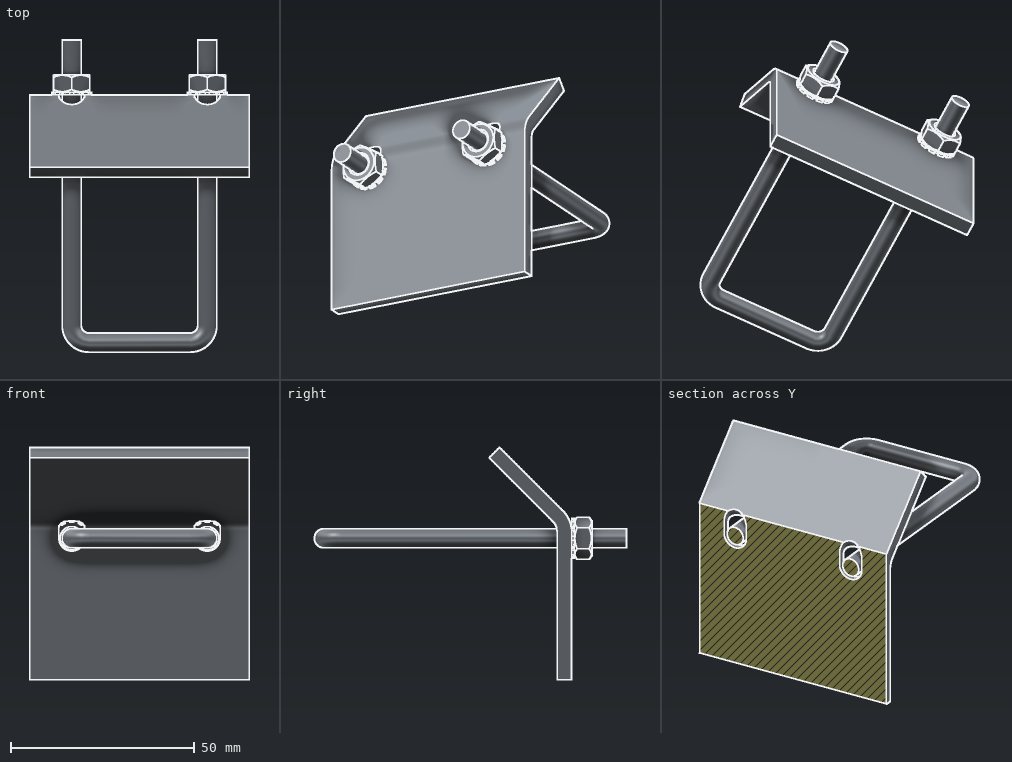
import cadquery as cq
import math


plate_width = 60.0
plate_thickness = 4.0
lower_flange_length = 40.4
upper_flange_length = 24.6
bend_start_z = 1.8
bend_angle = math.radians(45)
bend_inner_radius = plate_thickness
bend_outer_radius = bend_inner_radius + plate_thickness
bend_middle_radius = (bend_inner_radius + bend_outer_radius) / 2
bend_center_y = -bend_outer_radius

bolt_length = 85.3
bolt_diameter = 5.3
leg_spacing = 37.0
corner_radius = 4.7
bolt_end_y = 15.0
leg_positions = (-leg_spacing / 2, leg_spacing / 2)

slot_width = 7.0
slot_rise = 3.3

washer_thickness = 0.7
washer_diameter = 11.0
washer_hole_diameter = 6.4
tooth_count = 12
tooth_gap_width = 1.1
tooth_root_radius = 4.4

nut_height = 4.9
nut_across_flats = 10.0
nut_face_diameter = 9.5
nut_chamfer_height = 0.8
nut_countersink_diameter = washer_hole_diameter


def turned(points):
    """Solid of revolution about Y from (radius, y) points."""
    return cq.Workplane("XY").polyline(points).close().revolve(360, (0, 0, 0), (0, 1, 0))


def cylinder_y(diameter, y_start, y_end):
    """Cylinder along Y between two Y positions."""
    return cq.Workplane("XZ", origin=(0, y_start, 0)).circle(diameter / 2).extrude(y_start - y_end)


def bend_point(radius, angle):
    """(y, z) of a point in the bend, with the angle measured up from the bend start."""
    return (bend_center_y + radius * math.cos(angle), bend_start_z + radius * math.sin(angle))


def bent_plate():
    """Plate with an arc bend, leaning toward -Y above the bend."""
    def flange_tip(radius):
        y, z = bend_point(radius, bend_angle)
        return (
            y - upper_flange_length * math.sin(bend_angle),
            z + upper_flange_length * math.cos(bend_angle),
        )

    bottom_z = bend_start_z - lower_flange_length
    return (
        cq.Workplane("YZ")
        .moveTo(0, bottom_z)
        .lineTo(0, bend_start_z)
        .threePointArc(
            bend_point(bend_outer_radius, bend_angle / 2), bend_point(bend_outer_radius, bend_angle)
        )
        .lineTo(*flange_tip(bend_outer_radius))
        .lineTo(*flange_tip(bend_inner_radius))
        .lineTo(*bend_point(bend_inner_radius, bend_angle))
        .threePointArc(
            bend_point(bend_inner_radius, bend_angle / 2), bend_point(bend_inner_radius, 0)
        )
        .lineTo(-plate_thickness, bottom_z)
        .close()
        .extrude(plate_width / 2, both=True)
    )


def clearance_slot():
    """Slot that follows the bend: its walls stay square to the plate surface."""
    half_width = slot_width / 2
    reach = bend_outer_radius + plate_thickness
    flat_part = (
        cq.Workplane("XZ")
        .circle(half_width)
        .extrude(reach)
        .union(
            cq.Workplane("XY")
            .box(slot_width, reach, bend_start_z, centered=(True, False, False))
            .translate((0, -reach, 0))
        )
    )

    end_angle = (slot_rise - bend_start_z) / bend_middle_radius
    sides = (
        cq.Workplane("YZ")
        .polyline([(bend_center_y, bend_start_z), bend_point(reach, 0), bend_point(reach, end_angle)])
        .close()
        .extrude(half_width, both=True)
    )

    end_slope = math.tan(half_width / bend_middle_radius)
    near_radius = bend_inner_radius / 2
    end_plane = cq.Plane(
        origin=(0, *bend_point(near_radius, end_angle)),
        xDir=(1, 0, 0),
        normal=(0, math.cos(end_angle), math.sin(end_angle)),
    )
    upper_end = (
        cq.Workplane(end_plane)
        .ellipse(half_width, near_radius * end_slope)
        .workplane(offset=reach - near_radius)
        .ellipse(half_width, reach * end_slope)
        .loft(ruled=True)
    )
    return flat_part.union(sides).union(upper_end)


def u_bolt():
    """Round bar swept along two legs joined by rounded corners."""
    leg_x = leg_spacing / 2
    loop_y = bolt_end_y - bolt_length + bolt_diameter / 2
    corner_y = loop_y + corner_radius
    corner_x = leg_x - corner_radius
    diagonal = corner_radius * math.sqrt(0.5)
    path = (
        cq.Workplane("XY")
        .moveTo(-leg_x, bolt_end_y)
        .lineTo(-leg_x, corner_y)
        .threePointArc((-corner_x - diagonal, corner_y - diagonal), (-corner_x, loop_y))
        .lineTo(corner_x, loop_y)
        .threePointArc((corner_x + diagonal, corner_y - diagonal), (leg_x, corner_y))
        .lineTo(leg_x, bolt_end_y)
    )
    return cq.Workplane("XZ", origin=(-leg_x, bolt_end_y, 0)).circle(bolt_diameter / 2).sweep(path)


def toothed_washer():
    """Flat ring with evenly spaced gaps cut into its rim."""
    washer = cylinder_y(washer_diameter, 0, washer_thickness)
    washer = washer.cut(cylinder_y(washer_hole_diameter, 0, washer_thickness))
    gap_depth = washer_diameter / 2
    gap = (
        cq.Workplane("XY")
        .box(tooth_gap_width, washer_thickness, gap_depth, centered=(True, False, False))
        .translate((0, 0, tooth_root_radius))
    )
    for index in range(tooth_count):
        washer = washer.cut(gap.rotate((0, 0, 0), (0, 1, 0), index * 360 / tooth_count))
    return washer


def hex_nut():
    """Hexagon nut with corners on Z, conical end chamfers and a countersunk bore."""
    across_corners = nut_across_flats / math.cos(math.pi / 6)
    start_y = washer_thickness
    end_y = start_y + nut_height
    hexagon = (
        cq.Workplane("XZ", origin=(0, start_y, 0))
        .transformed(rotate=(0, 0, 90))
        .polygon(6, across_corners)
        .extrude(-nut_height)
    )
    face_radius = nut_face_diameter / 2
    outer_radius = across_corners / 2
    envelope = turned([
        (0, start_y),
        (face_radius, start_y),
        (outer_radius, start_y + nut_chamfer_height),
        (outer_radius, end_y - nut_chamfer_height),
        (face_radius, end_y),
        (0, end_y),
    ])
    bore_radius = bolt_diameter / 2
    countersink_radius = nut_countersink_diameter / 2
    countersink_depth = countersink_radius - bore_radius
    bore = turned([
        (0, start_y),
        (countersink_radius, start_y),
        (bore_radius, start_y + countersink_depth),
        (bore_radius, end_y - countersink_depth),
        (countersink_radius, end_y),
        (0, end_y),
    ])
    return hexagon.intersect(envelope).cut(bore)


plate = bent_plate()
fasteners = u_bolt()
washer_and_nut = toothed_washer().union(hex_nut())
for x in leg_positions:
    plate = plate.cut(clearance_slot().translate((x, 0, 0)))
    fasteners = fasteners.union(washer_and_nut.translate((x, 0, 0)))

result = plate.union(fasteners)